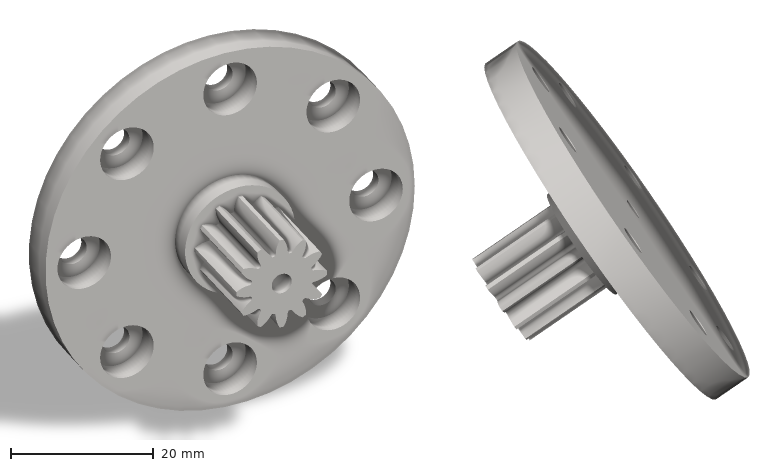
import cadquery as cq
import math

overall_length = 22.5
flange_thickness = 5.5
hub_length = 3.3
pinion_length = overall_length - flange_thickness - hub_length

flange_diameter = 57.0
hub_diameter = 17.0
bore_diameter = 3.1

hole_count = 8
hole_diameter = 4.2
hole_circle_diameter = 45.05
counterbore_diameter = 8.25
hole_web_thickness = 1.75

tooth_count = 12
tip_radius = 7.0
pitch_radius = 6.0
flank_foot_radius = 5.0
root_radius = 4.75
tip_width = 0.6
foot_width = 1.9

tooth_pitch_angle = 2 * math.pi / tooth_count
tip_half_angle = tip_width / 2 / tip_radius
pitch_half_angle = tooth_pitch_angle / 4
foot_half_angle = foot_width / 2 / flank_foot_radius


def polar(radius, angle):
    """Point of the YZ plane at a radius and angle about the axis."""
    return (radius * math.cos(angle), radius * math.sin(angle))


def disc(start, length, diameter):
    """Solid cylinder along +X from the given start."""
    return cq.Workplane("YZ", origin=(start, 0, 0)).circle(diameter / 2).extrude(length)


def pinion(start, length):
    """Spur pinion with one tooth centred on +Y, curved flanks and rounded roots."""
    outline = cq.Workplane("YZ", origin=(start, 0, 0))
    outline = outline.moveTo(*polar(flank_foot_radius, -foot_half_angle))
    for tooth in range(tooth_count):
        centre = tooth * tooth_pitch_angle
        next_gap = centre + tooth_pitch_angle / 2
        next_foot = centre + tooth_pitch_angle - foot_half_angle
        outline = (
            outline
            .threePointArc(
                polar(pitch_radius, centre - pitch_half_angle),
                polar(tip_radius, centre - tip_half_angle),
            )
            .threePointArc(
                polar(tip_radius, centre),
                polar(tip_radius, centre + tip_half_angle),
            )
            .threePointArc(
                polar(pitch_radius, centre + pitch_half_angle),
                polar(flank_foot_radius, centre + foot_half_angle),
            )
            .threePointArc(
                polar(root_radius, next_gap),
                polar(flank_foot_radius, next_foot),
            )
        )
    return outline.close().extrude(length)


def hole_ring(start, length, diameter):
    """Ring of cylinders along +X on the hole circle, the first one on +Y."""
    return (
        cq.Workplane("YZ", origin=(start, 0, 0))
        .polarArray(hole_circle_diameter / 2, 0, 360, hole_count)
        .circle(diameter / 2)
        .extrude(length)
    )


flange = disc(0, flange_thickness, flange_diameter)
hub = disc(flange_thickness, hub_length, hub_diameter)
teeth = pinion(flange_thickness + hub_length, pinion_length)
bore = disc(0, overall_length, bore_diameter)

through_holes = hole_ring(0, flange_thickness, hole_diameter)
counterbore_depth = flange_thickness - hole_web_thickness
counterbores = hole_ring(hole_web_thickness, counterbore_depth, counterbore_diameter)

result = flange.union(hub).union(teeth).cut(through_holes).cut(counterbores).cut(bore)